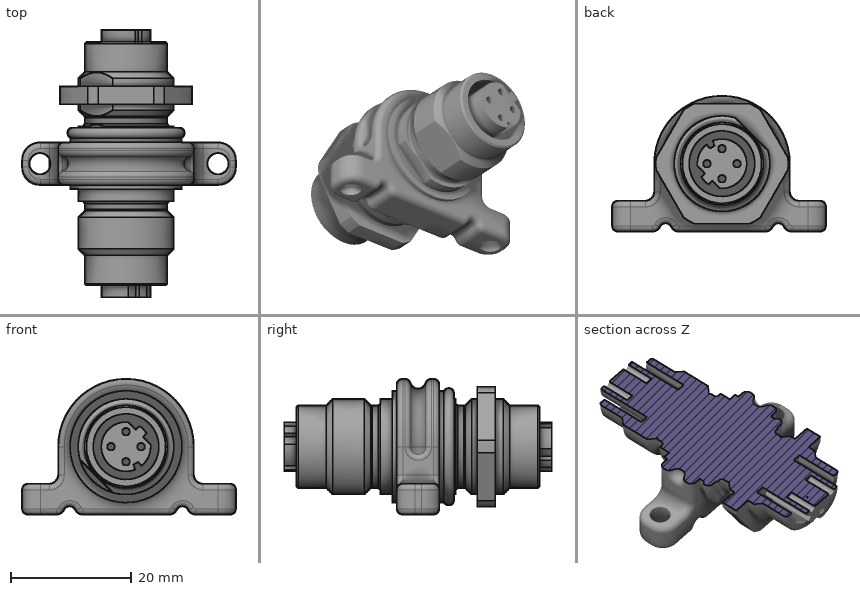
import cadquery as cq
import math

half_length = 22.25
collar_end = 20.25
collar_chamfer = 0.3
ring_front = 15.25
ring_back = 7.85
neck_start = 6.25
disc_end = 4.25

collar_radius = 13.75 / 2
ring_radius = 15.9 / 2
disc_radius = 18.6 / 2
bore_radius = 10.92 / 2
insert_radius = 4.1
ring_chamfer = ring_radius - collar_radius
neck_flare_length = 0.4
neck_flare_height = 0.25
undercut_width = 0.25
undercut_depth = 0.15

flat_distance = 6.95
flat_start = 4.35
flat_angle = -135
bore_depth = 8.0

socket_diameter = 1.25
socket_depth = 5.0
socket_circle_radius = 2.5
socket_count = 4
key_angle = 45
key_width = 1.7
key_flat_distance = 3.15
groove_angle = -59.5
groove_floor_distance = 3.2
groove_floor_width = 0.9
groove_mouth_width = 1.25

seal_end = 6.0
seal_radius = 9.77
nut_start = 9.85
nut_thickness = 3.0
nut_sides = 6
nut_across_flats = 20.0
nut_corner_diameter = 22.0

clamp_radius = 11.3
clamp_width = 7.1
base_length = 35.6
base_offset = 0.5
foot_height = 5.15
foot_corner_radius = 3.0
foot_hole_diameter = 3.5
valley_radius = 1.5
edge_radius = 1.0

notch_spacing = 18.75
notch_radius = 1.05
notch_lip_radius = 1.4
notch_half_width = 2.2

hollow_radius = 1.3
hollow_lip_radius = 1.0
hollow_half_width = 2.2

groove_clearance = 0.5


def on_front_half(distance):
    """Plane across the connector axis, facing outward on the front (-Y) half."""
    return cq.Workplane("XZ", origin=(0, -distance, 0))


def half_body():
    """Turned shell of the front half: disc, flange, neck, ring and collar."""
    neck_flare_end = neck_start + neck_flare_length
    return (
        cq.Workplane("XY")
        .moveTo(0, 0)
        .lineTo(disc_radius, 0)
        .lineTo(disc_radius, -disc_end)
        .lineTo(ring_radius, -disc_end)
        .lineTo(ring_radius, -neck_start)
        .lineTo(collar_radius + neck_flare_height, -neck_start)
        .lineTo(collar_radius, -neck_flare_end)
        .lineTo(collar_radius, undercut_width - ring_back)
        .lineTo(collar_radius - undercut_depth, undercut_width - ring_back)
        .lineTo(collar_radius - undercut_depth, -ring_back)
        .lineTo(collar_radius, -ring_back)
        .lineTo(ring_radius, -ring_back - ring_chamfer)
        .lineTo(ring_radius, ring_chamfer - ring_front)
        .lineTo(collar_radius, -ring_front)
        .lineTo(collar_radius, collar_chamfer - collar_end)
        .lineTo(collar_radius - collar_chamfer, -collar_end)
        .lineTo(0, -collar_end)
        .close()
        .revolve(360, (0, 0, 0), (0, 1, 0))
    )


def wrench_flat():
    """Block that planes one side of the flange and the ring."""
    size = 2 * ring_radius
    return (
        on_front_half(flat_start)
        .transformed(rotate=(0, 0, flat_angle))
        .center(flat_distance + size / 2, 0)
        .rect(size, size)
        .extrude(ring_front - flat_start)
    )


def contact_insert():
    """Socket insert standing in the bore of the collar."""
    floor = collar_end - bore_depth
    length = half_length - floor
    insert = on_front_half(floor).circle(insert_radius).extrude(length)

    flat_depth = insert_radius - key_flat_distance
    side_height = insert_radius
    side_offset = (key_width + side_height) / 2
    key_sides = (
        on_front_half(floor)
        .transformed(rotate=(0, 0, key_angle))
        .pushPoints([
            (key_flat_distance + flat_depth / 2, side_offset),
            (key_flat_distance + flat_depth / 2, -side_offset),
        ])
        .rect(flat_depth, side_height)
        .extrude(length)
    )
    coding_groove = (
        on_front_half(floor)
        .transformed(rotate=(0, 0, groove_angle))
        .moveTo(groove_floor_distance, -groove_floor_width / 2)
        .lineTo(insert_radius, -groove_mouth_width / 2)
        .lineTo(insert_radius, groove_mouth_width / 2)
        .lineTo(groove_floor_distance, groove_floor_width / 2)
        .close()
        .extrude(length)
    )
    sockets = (
        on_front_half(half_length)
        .polarArray(socket_circle_radius, 0, 360, socket_count)
        .circle(socket_diameter / 2)
        .extrude(-socket_depth)
    )
    return insert.cut(key_sides).cut(coding_groove).cut(sockets)


def connector_half():
    bore = on_front_half(collar_end).circle(bore_radius).extrude(-bore_depth)
    return half_body().cut(wrench_flat()).cut(bore).union(contact_insert())


def sealing_ring():
    """Disc with a fully rounded rim against the rear of the clamp disc."""
    round_radius = (seal_end - disc_end) / 2
    round_start = seal_radius - round_radius
    return (
        cq.Workplane("XY")
        .moveTo(0, disc_end)
        .lineTo(round_start, disc_end)
        .threePointArc((seal_radius, disc_end + round_radius), (round_start, seal_end))
        .lineTo(0, seal_end)
        .close()
        .revolve(360, (0, 0, 0), (0, 1, 0))
    )


def nut():
    """Hexagon with flats at top and bottom and its corners turned off."""
    plane = cq.Workplane("XZ", origin=(0, nut_start, 0))
    hexagon = plane.polygon(nut_sides, nut_across_flats, circumscribed=True).extrude(-nut_thickness)
    hexagon = hexagon.rotate((0, 0, 0), (0, 1, 0), 180 / nut_sides)
    return hexagon.intersect(plane.circle(nut_corner_diameter / 2).extrude(-nut_thickness))


def flared_groove(radius, lip_radius, half_width):
    """Half section of a groove with rounded lips, as (across, depth) points.

    The lip leaves the surface tangentially at half_width and runs smoothly into the groove arc.
    Returned in order: lip start, lip middle, end of lip, middle of the half floor, bottom.
    """
    slope = math.acos(half_width / (radius + lip_radius))
    groove_depth = lip_radius - half_width * math.tan(slope)

    def on_lip(angle):
        return half_width - lip_radius * math.cos(angle), lip_radius - lip_radius * math.sin(angle)

    def on_floor(angle):
        return radius * math.cos(angle), groove_depth + radius * math.sin(angle)

    quarter_turn = math.pi / 2
    middle = (slope + quarter_turn) / 2
    lip = on_lip(quarter_turn), on_lip(middle), on_lip(slope)
    floor = on_floor(middle), on_floor(quarter_turn)
    return lip + floor


def groove_section(plane, section):
    """Closed section of a lipped groove; the plane's Y points into the material."""
    lip_start, lip_middle, meet, _, bottom = section

    def opposite(point):
        return -point[0], point[1]

    return (
        plane
        .moveTo(*opposite(lip_start))
        .threePointArc(opposite(lip_middle), opposite(meet))
        .threePointArc(bottom, meet)
        .threePointArc(lip_middle, lip_start)
        .lineTo(lip_start[0], -groove_clearance)
        .lineTo(-lip_start[0], -groove_clearance)
        .close()
    )


def base_notch(x):
    """Groove along Y with rounded lips, across the underside."""
    plane = cq.Workplane("XZ", origin=(x, clamp_width / 2, -clamp_radius))
    section = flared_groove(notch_radius, notch_lip_radius, notch_half_width)
    return groove_section(plane, section).extrude(clamp_width)


def hollow_band(section):
    """Part of the hollow that runs over the top half of the arch."""
    plane = cq.Workplane(cq.Plane((clamp_radius, 0, 0), xDir=(0, 1, 0), normal=(0, 0, 1)))
    return groove_section(plane, section).revolve(180, (0, clamp_radius, 0), (-1, clamp_radius, 0))


def hollow_run_out(section):
    """Quarter-round end of the hollow, below the arch on the +X side."""
    lip_start, lip_middle, meet, floor_middle, bottom = [
        (clamp_radius - depth, across) for across, depth in section
    ]
    outside = clamp_radius + groove_clearance
    return (
        cq.Workplane("XY")
        .moveTo(*bottom)
        .threePointArc(floor_middle, meet)
        .threePointArc(lip_middle, lip_start)
        .lineTo(outside, hollow_half_width)
        .lineTo(outside, 0)
        .close()
        .revolve(180, (0, 0, 0), (-1, 0, 0))
    )


def arch_hollow():
    section = flared_groove(hollow_radius, hollow_lip_radius, hollow_half_width)
    run_out = hollow_run_out(section)
    return hollow_band(section).union(run_out).union(run_out.mirror("YZ"))


def clamp():
    underside = -clamp_radius
    foot_top = underside + foot_height
    block = (
        cq.Workplane("XZ", origin=(0, clamp_width / 2, 0))
        .moveTo(-clamp_radius, underside)
        .lineTo(-clamp_radius, 0)
        .threePointArc((0, clamp_radius), (clamp_radius, 0))
        .lineTo(clamp_radius, underside)
        .close()
        .extrude(clamp_width)
    )
    base = (
        cq.Workplane("XY", origin=(base_offset, 0, underside))
        .rect(base_length, clamp_width)
        .extrude(foot_height)
        .edges("|Z")
        .fillet(foot_corner_radius)
    )
    body = block.union(base)
    valley_band = cq.selectors.BoxSelector(
        (-clamp_radius - edge_radius, -clamp_width, foot_top - edge_radius),
        (clamp_radius + edge_radius, clamp_width, foot_top + edge_radius),
    )
    body = body.edges("|Y").edges(valley_band).fillet(valley_radius)
    for x in (-notch_spacing / 2, notch_spacing / 2):
        body = body.cut(base_notch(x))
    body = body.faces("<Y or >Y").edges().fillet(edge_radius)

    hole_offset = base_length / 2 - foot_corner_radius
    holes = (
        cq.Workplane("XY", origin=(base_offset, 0, underside))
        .pushPoints([(-hole_offset, 0), (hole_offset, 0)])
        .circle(foot_hole_diameter / 2)
        .extrude(foot_height)
    )
    return body.cut(holes).cut(arch_hollow())


front_half = connector_half()
rear_half = front_half.rotate((0, 0, 0), (1, 0, 0), 180)
connector = front_half.union(rear_half).union(sealing_ring()).union(nut())
result = connector.union(clamp())